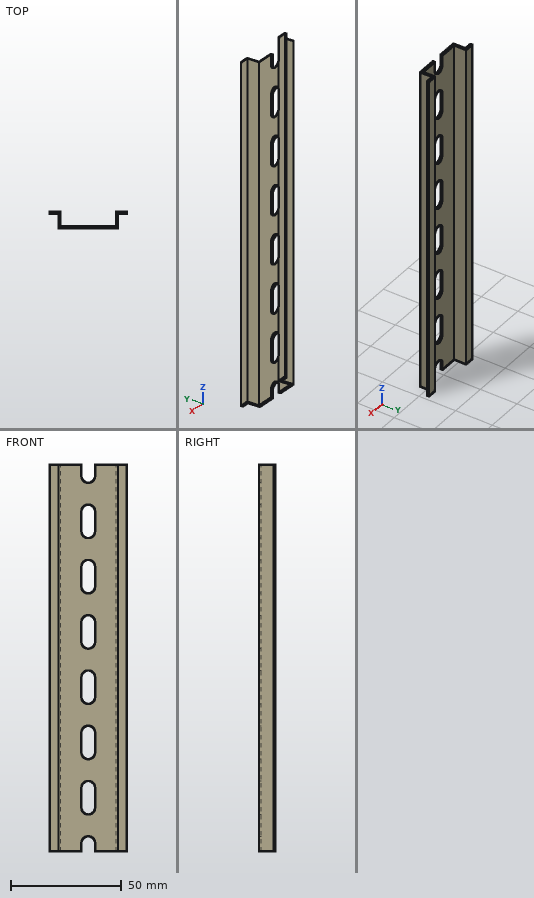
import cadquery as cq

length = 175.0
width = 35.0
depth = 7.5
thickness = 1.0
channel_width = 27.0

slot_count = 8
slot_pitch = 25.0
slot_length = 15.0
slot_width = 6.1
slot_row_offset = -0.7

web_face = -depth / 2
flange_face = depth / 2


def rail_body():
    """Extrude the hat-shaped cross-section: web at -Y, flanges at +Y."""
    outer = channel_width / 2
    inner = outer - thickness
    edge = width / 2
    return (
        cq.Workplane("XY")
        .moveTo(-outer, web_face)
        .lineTo(outer, web_face)
        .lineTo(outer, flange_face - thickness)
        .lineTo(edge, flange_face - thickness)
        .lineTo(edge, flange_face)
        .lineTo(inner, flange_face)
        .lineTo(inner, web_face + thickness)
        .lineTo(-inner, web_face + thickness)
        .lineTo(-inner, flange_face)
        .lineTo(-edge, flange_face)
        .lineTo(-edge, flange_face - thickness)
        .lineTo(-outer, flange_face - thickness)
        .close()
        .extrude(length)
        .translate((0, 0, -length / 2))
    )


def slot_cutters():
    """Round-ended slots, long in Z, spaced evenly along the web."""
    first_slot = slot_row_offset - (slot_count - 1) * slot_pitch / 2
    centres = [(0, first_slot + i * slot_pitch) for i in range(slot_count)]
    return (
        cq.Workplane("XZ")
        .pushPoints(centres)
        .slot2D(slot_length, slot_width, 90)
        .extrude(depth, both=True)
    )


result = rail_body().cut(slot_cutters())